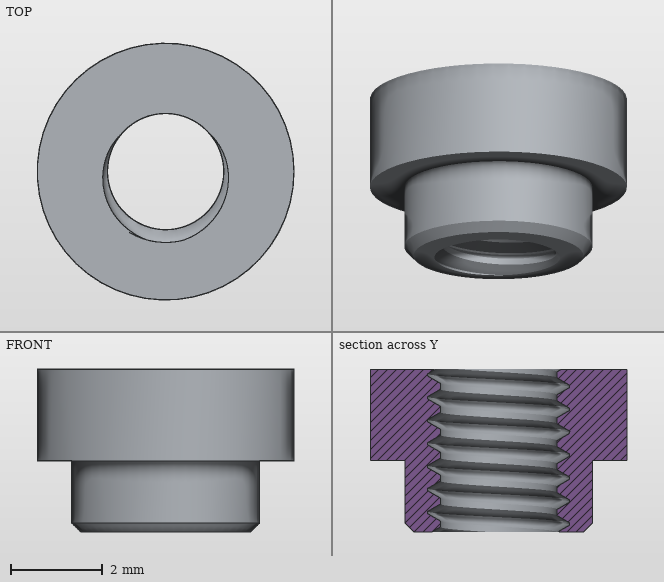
import cadquery as cq
import math

collar_diameter = 5.6
collar_height = 2.0
shank_diameter = 4.1
shank_height = 1.55
shank_chamfer = 0.2
total_height = shank_height + collar_height

thread_minor_diameter = 2.53
thread_major_diameter = 3.09
thread_pitch = 0.5
thread_flank_angle = 30.0
thread_crest_width = 0.135
groove_angle_at_top = -90.0
bore_overlap = 0.05


def stepped_body():
    """Wide collar on a chamfered shank, standing on Z = 0."""
    shank = (
        cq.Workplane("XY")
        .circle(shank_diameter / 2)
        .extrude(shank_height)
        .faces("<Z")
        .chamfer(shank_chamfer)
    )
    collar = (
        cq.Workplane("XY")
        .workplane(offset=shank_height)
        .circle(collar_diameter / 2)
        .extrude(collar_height)
    )
    return shank.union(collar)


def thread_groove():
    """Helical trapezoid that runs out past both ends of the bore."""
    minor_radius = thread_minor_diameter / 2
    major_radius = thread_major_diameter / 2
    inner_radius = minor_radius - bore_overlap
    flank_slope = math.tan(math.radians(thread_flank_angle))

    opening_width = thread_pitch - thread_crest_width
    root_half = opening_width / 2 - (major_radius - minor_radius) * flank_slope
    inner_half = opening_width / 2 + bore_overlap * flank_slope

    profile = cq.Workplane("XZ").polyline(
        [
            (inner_radius, -inner_half),
            (major_radius, -root_half),
            (major_radius, root_half),
            (inner_radius, inner_half),
        ]
    ).close()

    turns = math.ceil(total_height / thread_pitch) + 2
    helix = cq.Wire.makeHelix(thread_pitch, turns * thread_pitch, minor_radius)
    groove = profile.sweep(cq.Workplane(obj=helix), isFrenet=True)

    start_height = total_height - (turns - 1) * thread_pitch
    groove = groove.rotate((0, 0, 0), (0, 0, 1), groove_angle_at_top)
    return groove.translate((0, 0, start_height))


bore = cq.Workplane("XY").circle(thread_minor_diameter / 2).extrude(total_height)
result = stepped_body().cut(thread_groove()).cut(bore)